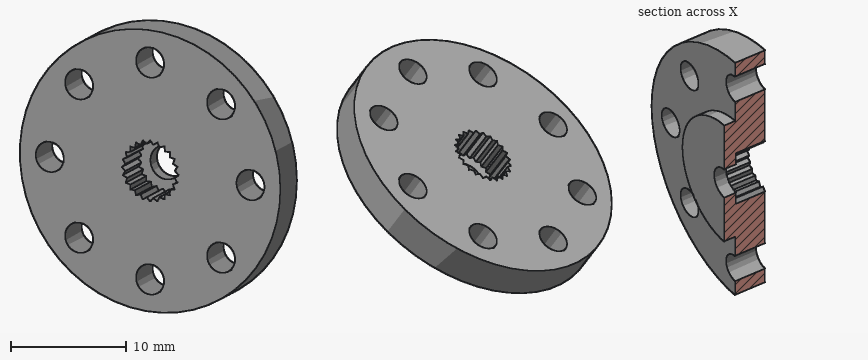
import cadquery as cq
import math

disc_diameter = 25.4
disc_thickness = 3.175
hub_diameter = 12.7
overall_thickness = 4.32
hub_height = overall_thickness - disc_thickness

screw_hole_diameter = 3.05

mount_hole_count = 8
mount_hole_diameter = 2.72
mount_circle_diameter = 19.56

spline_tooth_count = 24
spline_tip_radius = 2.75
spline_groove_angle = 84.0
spline_depth = 3.05


def front_plane():
    """Sketch plane on the front face; its normal points to -Y and its local axes are X and Z."""
    return cq.Workplane("XZ")


def make_body():
    """Round disc with the smaller concentric hub behind it."""
    disc = front_plane().circle(disc_diameter / 2).extrude(-disc_thickness)
    hub = (
        front_plane()
        .workplane(offset=-disc_thickness)
        .circle(hub_diameter / 2)
        .extrude(-hub_height)
    )
    return disc.union(hub)


def polar_point(radius, angle):
    return (radius * math.cos(angle), radius * math.sin(angle))


def make_spline_socket():
    """Blind socket with straight-sided V grooves, one of them pointing along +X."""
    half_pitch = math.pi / spline_tooth_count
    half_groove = math.radians(spline_groove_angle / 2)
    ridge_radius = spline_tip_radius * math.sin(half_groove) / math.sin(half_groove + half_pitch)
    outline = []
    for tooth in range(spline_tooth_count):
        groove_angle = 2 * half_pitch * tooth
        outline.append(polar_point(spline_tip_radius, groove_angle))
        outline.append(polar_point(ridge_radius, groove_angle + half_pitch))
    return front_plane().polyline(outline).close().extrude(-spline_depth)


def make_screw_hole():
    return front_plane().circle(screw_hole_diameter / 2).extrude(-overall_thickness)


def make_mount_holes():
    """Ring of through holes in the disc."""
    return (
        front_plane()
        .polarArray(mount_circle_diameter / 2, 0, 360, mount_hole_count)
        .circle(mount_hole_diameter / 2)
        .extrude(-disc_thickness)
    )


result = (
    make_body()
    .cut(make_spline_socket())
    .cut(make_screw_hole())
    .cut(make_mount_holes())
)